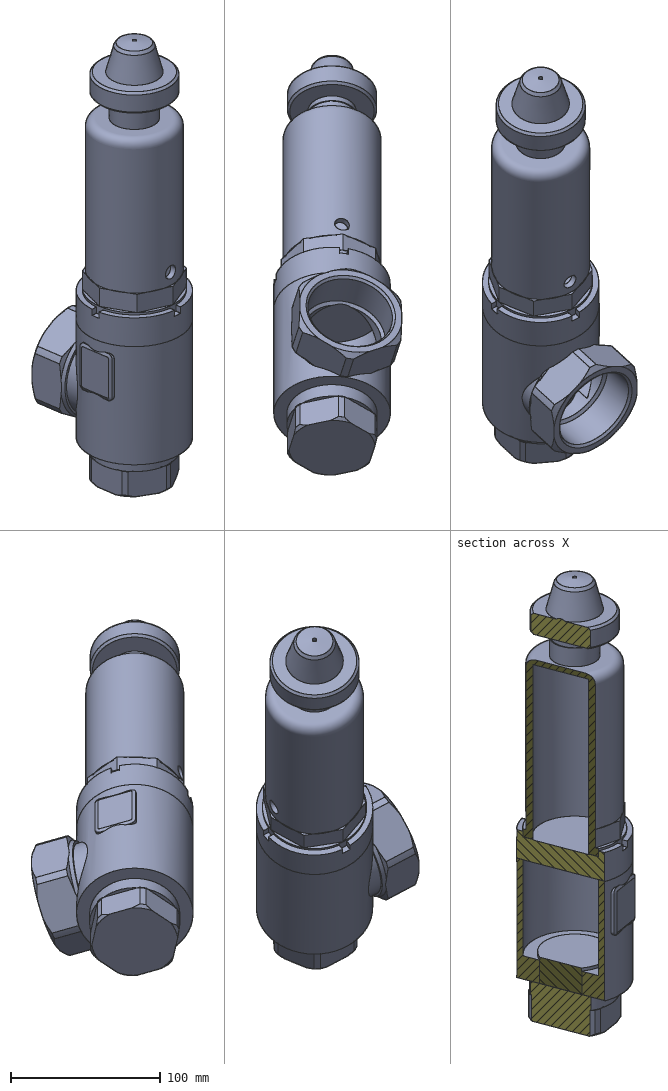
import cadquery as cq
import math

length_x = 100.0
width_y = 78.5

hexagon_sides = 6
octagon_sides = 8

total_height = 332.0
hex_top = 20.0
housing_bottom = 30.0
cavity_floor = 47.8
seat_top = 50.0
housing_top = 120.0
collar_top = 141.8
octagon_bottom = 143.5
octagon_top = 157.5
bonnet_top = 273.2
stem_top = 287.2
disc_bottom = 291.8
disc_top = 308.0

housing_diameter = 78.0
housing_radius = housing_diameter / 2
cavity_radius = 34.5
seat_radius = 25.0

outlet_height = 69.5
outlet_face_x = housing_radius - length_x
outlet_neck_radius = 32.2
outlet_across_flats = 69.7
outlet_corner_radius = 39.0
outlet_corner_length = 25.0
rear_chamfer_length = 1.3
rear_round_length = 2.5
rear_round_drop = 1.3
outlet_hex_length = outlet_corner_length + rear_chamfer_length + rear_round_length
mouth_chamfer_length = 3.0
mouth_chamfer_drop = 3.5
rear_chamfer_drop = 3.5
thread_radius = 29.0
thread_depth = 25.2
thread_lead_in = 1.5
outlet_bore_radius = 26.5
step_length = 1.5

plate_width = 29.0
plate_bottom = 77.0
plate_top = 113.0
plate_face_y = housing_radius - width_y
plate_corner_radius = 3.5
plate_bevel_width = 2.3
plate_bevel_depth = 1.0

inlet_neck_radius = 30.2
inlet_across_flats = 55.5
inlet_corner_radius = 31.0
inlet_chamfer = 2.0

slot_count = 4
slot_width = 6.0
slot_depth = 4.5
slot_overrun = 1.5
collar_bore_radius = 35.0

bonnet_radius = 33.0
bonnet_round = 6.5
octagon_corner_radius = 35.0
bonnet_wall = 4.3
vent_radius = 5.0
vent_height = 167.3

stem_radius = 17.0
hub_radius = 16.3
disc_radius = 30.0
disc_chamfer = 1.5
cone_base_radius = 19.3
cone_top_radius = 14.0
cone_top = 328.0
dome_radius = 12.3
dome_rim = 330.5
dimple_radius = 1.3
dimple_depth = 3.3


def cylinder(radius, bottom, top):
    """Upright cylinder on the valve axis."""
    return cq.Workplane("XY").workplane(offset=bottom).circle(radius).extrude(top - bottom)


def outlet_revolve(profile):
    """Solid of revolution about the outlet axis from (x, radius) points."""
    return (
        cq.Workplane("XZ", origin=(0, 0, outlet_height))
        .polyline(profile)
        .close()
        .revolve(360, (0, 0, 0), (1, 0, 0))
    )


def make_outlet_hex():
    """Hexagon with its corners turned round and its ends bevelled."""
    rear_x = outlet_face_x + outlet_hex_length
    corner_end_x = outlet_face_x + outlet_corner_length
    rear_shoulder_radius = outlet_corner_radius - rear_chamfer_drop
    blank = outlet_revolve([
        (outlet_face_x, 0),
        (outlet_face_x, outlet_corner_radius - mouth_chamfer_drop),
        (outlet_face_x + mouth_chamfer_length, outlet_corner_radius),
        (corner_end_x, outlet_corner_radius),
        (corner_end_x + rear_chamfer_length, rear_shoulder_radius),
        (rear_x, rear_shoulder_radius - rear_round_drop),
        (rear_x, 0),
    ])
    prism = (
        cq.Workplane("YZ", origin=(outlet_face_x, 0, outlet_height))
        .polygon(hexagon_sides, outlet_across_flats / math.cos(math.pi / hexagon_sides))
        .extrude(outlet_hex_length)
        .rotate((0, 0, outlet_height), (1, 0, outlet_height), 180 / hexagon_sides)
    )
    return blank.intersect(prism)


def make_outlet_bore():
    """Lead-in, threaded length, bevelled step and bore up to the valve axis."""
    step_x = outlet_face_x + thread_depth
    return outlet_revolve([
        (outlet_face_x, 0),
        (outlet_face_x, thread_radius + thread_lead_in),
        (outlet_face_x + thread_lead_in, thread_radius),
        (step_x, thread_radius),
        (step_x + step_length, outlet_bore_radius),
        (0, outlet_bore_radius),
        (0, 0),
    ])


def make_name_plate():
    """Rounded plate with a shallow bevel around its face, reaching into the housing wall."""
    plate_height = plate_top - plate_bottom
    return (
        cq.Workplane("XZ", origin=(0, -cavity_radius, (plate_bottom + plate_top) / 2))
        .rect(plate_width, plate_height)
        .extrude(-cavity_radius - plate_face_y)
        .edges("|Y")
        .fillet(plate_corner_radius)
        .faces("<Y")
        .chamfer(plate_bevel_depth, plate_bevel_width)
    )


def make_housing():
    """Hollow cylinder with the side outlet and the name plate, open at the top and for the seat."""
    neck = (
        cq.Workplane("YZ", origin=(outlet_face_x + outlet_hex_length, 0, outlet_height))
        .circle(outlet_neck_radius)
        .extrude(-outlet_face_x - outlet_hex_length)
    )
    housing = cylinder(housing_radius, housing_bottom, housing_top)
    housing = housing.union(neck).union(make_outlet_hex()).union(make_name_plate())
    housing = housing.cut(cylinder(cavity_radius, cavity_floor, housing_top))
    housing = housing.cut(cylinder(seat_radius, housing_bottom, cavity_floor))
    return housing.cut(make_outlet_bore())


def make_seat():
    """Plug that fills the hole in the housing floor and stands slightly above it."""
    return cylinder(seat_radius, housing_bottom, seat_top)


def make_inlet():
    """Round neck above a hexagon with its corners turned round."""
    prism = (
        cq.Workplane("XY")
        .polygon(hexagon_sides, inlet_across_flats / math.cos(math.pi / hexagon_sides))
        .extrude(hex_top)
    )
    blank = cylinder(inlet_corner_radius, 0, hex_top).faces("<Z").chamfer(inlet_chamfer)
    return blank.intersect(prism).union(cylinder(inlet_neck_radius, hex_top, housing_bottom))


def make_collar():
    """Disc with a recess for the bonnet and slots through its rim."""
    collar = cylinder(housing_radius, housing_top, collar_top)
    collar = collar.cut(cylinder(collar_bore_radius, collar_top - slot_depth, collar_top))
    rim_width = housing_radius - collar_bore_radius + slot_overrun
    for index in range(slot_count):
        slot = (
            cq.Workplane("XY", origin=(housing_radius, 0, collar_top))
            .box(2 * rim_width, slot_width, 2 * slot_depth)
            .rotate((0, 0, 0), (0, 0, 1), index * 360 / slot_count)
        )
        collar = collar.cut(slot)
    return collar


def make_bonnet():
    """Hollow sleeve with an octagon and a boss that sits in the collar recess."""
    boss_bottom = collar_top - slot_depth
    octagon = (
        cq.Workplane("XY", origin=(0, 0, octagon_bottom))
        .polygon(octagon_sides, 2 * octagon_corner_radius)
        .extrude(octagon_top - octagon_bottom)
    )
    bonnet = cylinder(bonnet_radius, octagon_top, bonnet_top).faces(">Z").edges().fillet(bonnet_round)
    bonnet = bonnet.union(octagon).union(cylinder(collar_bore_radius, boss_bottom, octagon_bottom))
    inside_radius = bonnet_radius - bonnet_wall
    bonnet = bonnet.cut(cylinder(inside_radius, boss_bottom, bonnet_top - bonnet_wall))
    vent = (
        cq.Workplane("YZ", origin=(0, 0, vent_height))
        .circle(vent_radius)
        .extrude(bonnet_radius, both=True)
    )
    return bonnet.cut(vent)


def make_stem():
    """Plain round post between the bonnet and the knob."""
    return cylinder(stem_radius, bonnet_top, stem_top)


def make_knob():
    """Hub, grip disc, cone and dome turned about the valve axis, with a dimple in the top."""
    return (
        cq.Workplane("XZ")
        .moveTo(0, stem_top)
        .lineTo(hub_radius, stem_top)
        .lineTo(hub_radius, disc_bottom)
        .lineTo(disc_radius - disc_chamfer, disc_bottom)
        .lineTo(disc_radius, disc_bottom + disc_chamfer)
        .lineTo(disc_radius, disc_top - disc_chamfer)
        .lineTo(disc_radius - disc_chamfer, disc_top)
        .lineTo(cone_base_radius, disc_top)
        .lineTo(cone_top_radius, cone_top)
        .lineTo(dome_radius, dome_rim)
        .lineTo(dimple_radius, total_height)
        .lineTo(dimple_radius, total_height - dimple_depth)
        .lineTo(0, total_height - dimple_depth)
        .close()
        .revolve(360, (0, 0, 0), (0, 1, 0))
    )


knob = make_knob()
stem = make_stem()
bonnet = make_bonnet()
collar = make_collar()
housing = make_housing()
seat = make_seat()
inlet = make_inlet()

bodies = [knob, stem, bonnet, collar, housing, seat, inlet]
result = cq.Compound.makeCompound([body.solids().val() for body in bodies])